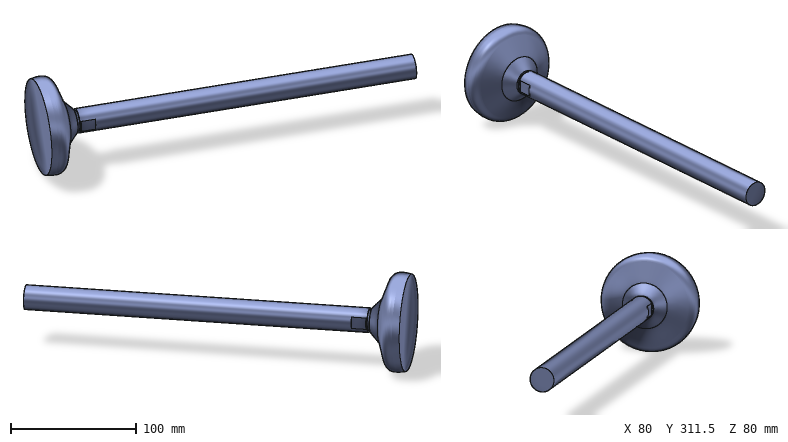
import cadquery as cq
import math

TOTAL_LENGTH = 311.5

FOOT_RADIUS = 80.0 / 2
BOTTOM_TAPER = 1.0
TAPER_HEIGHT = 5.5
SHOULDER_END_Y = 8.5
SHOULDER_RADIUS = 7.8
SLOPE_ANGLE = 20.5
CONE_BREAK_Y = 21.8
FOOT_TOP_Y = 30.2

SPINDLE_RADIUS = 10.0
NECK_RADIUS = 8.5
NECK_LENGTH = 2.0
FLAT_OFFSET = 8.7
FLAT_START_Y = 33.0
FLAT_END_Y = 45.0


def make_foot():
    """Revolve the foot profile around the Y axis."""
    slope = math.radians(SLOPE_ANGLE)
    arc_centre_radius = FOOT_RADIUS - SHOULDER_RADIUS
    arc_middle_angle = math.radians(90 - SLOPE_ANGLE) / 2

    shoulder_middle = (
        arc_centre_radius + SHOULDER_RADIUS * math.cos(arc_middle_angle),
        SHOULDER_END_Y + SHOULDER_RADIUS * math.sin(arc_middle_angle),
    )
    shoulder_top_radius = arc_centre_radius + SHOULDER_RADIUS * math.sin(slope)
    shoulder_top_y = SHOULDER_END_Y + SHOULDER_RADIUS * math.cos(slope)
    cone_break_radius = shoulder_top_radius - (CONE_BREAK_Y - shoulder_top_y) / math.tan(slope)

    profile = (
        cq.Workplane("ZY")
        .lineTo(FOOT_RADIUS - BOTTOM_TAPER, 0)
        .lineTo(FOOT_RADIUS, TAPER_HEIGHT)
        .lineTo(FOOT_RADIUS, SHOULDER_END_Y)
        .threePointArc(shoulder_middle, (shoulder_top_radius, shoulder_top_y))
        .lineTo(cone_break_radius, CONE_BREAK_Y)
        .lineTo(SPINDLE_RADIUS, FOOT_TOP_Y)
        .lineTo(0, FOOT_TOP_Y)
        .close()
    )
    return profile.revolve(360, (0, 0), (0, 1))


def make_spindle():
    """Revolve the stepped spindle standing on the foot, then cut its two wrench flats."""
    rod_start_y = FOOT_TOP_Y + NECK_LENGTH
    spindle = (
        cq.Workplane("ZY")
        .moveTo(0, FOOT_TOP_Y)
        .lineTo(NECK_RADIUS, FOOT_TOP_Y)
        .lineTo(NECK_RADIUS, rod_start_y)
        .lineTo(SPINDLE_RADIUS, rod_start_y)
        .lineTo(SPINDLE_RADIUS, TOTAL_LENGTH)
        .lineTo(0, TOTAL_LENGTH)
        .close()
        .revolve(360, (0, 0), (0, 1))
    )
    flat_length = FLAT_END_Y - FLAT_START_Y
    for side in (-1, 1):
        cutter = cq.Workplane("XY").box(SPINDLE_RADIUS, flat_length, 2 * SPINDLE_RADIUS)
        cutter_x = side * (FLAT_OFFSET + SPINDLE_RADIUS / 2)
        cutter_y = (FLAT_START_Y + FLAT_END_Y) / 2
        spindle = spindle.cut(cutter.translate((cutter_x, cutter_y, 0)))
    return spindle


foot = make_foot()
spindle = make_spindle()

result = cq.Compound.makeCompound([foot.val(), spindle.val()])